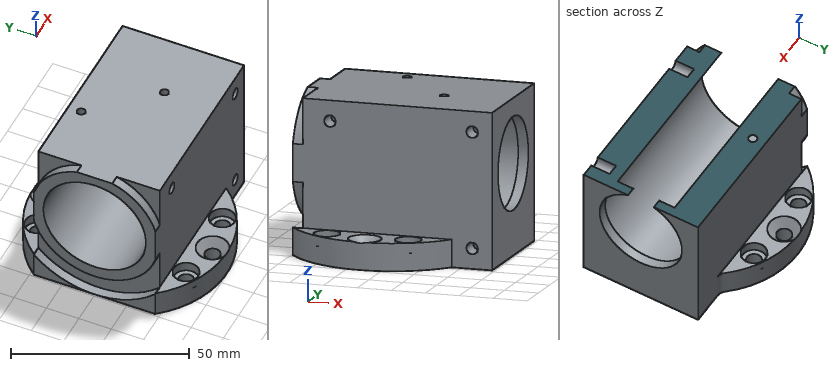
import cadquery as cq
import math

block_length = 58.8
block_width = 37.55
block_height = 45.4
half_width = block_width / 2
bore_z = block_height - half_width

bore_radius = 15.85
lip_radius = 13.5
lip_thickness = 3.0

recess_depth = 3.0
recess_inner_radius = 19.55
recess_outer_radius = 26.6

flange_radius = 30.0
flange_x = 23.45
flange_thickness = 8.05
blend_radius = 3.0

screw_radius = 2.3
counterbore_radius = 3.8
counterbore_depth = 3.0
counterbore_dx = 12.0
counterbore_y = 22.9
countersink_radius = 4.75
countersink_y = 25.5
countersink_angle = 90

side_hole_radius = 1.7
side_hole_positions = [(11.0, 39.4), (52.9, 39.4), (52.9, 5.95)]
top_hole_radius = 1.25
top_hole_positions = [(22.6, 14.7), (39.5, -3.2)]
small_hole_depth = 6.0


def x_cylinder(radius, start, length):
    """Cylinder on the bore axis."""
    return cq.Workplane("YZ", origin=(start, 0, bore_z)).circle(radius).extrude(length)


def make_block():
    block = cq.Workplane("XY").box(block_length, block_width, block_height, centered=(False, True, False))
    recess = x_cylinder(recess_outer_radius, 0, recess_depth)
    recess = recess.cut(x_cylinder(recess_inner_radius, 0, recess_depth))
    return block.cut(recess)


def make_flange():
    """Two circular segments flanking the block."""
    disc = cq.Workplane("XY").center(flange_x, 0).circle(flange_radius).extrude(flange_thickness)
    block_gap = cq.Workplane("XY", origin=(flange_x, 0, 0)).box(
        2 * flange_radius, block_width, flange_thickness, centered=(True, True, False)
    )
    return disc.cut(block_gap)


def make_blend():
    """Concave corner tangent to the +Y block face and the flange rim."""
    center_y = half_width + blend_radius
    center_distance = flange_radius + blend_radius
    center_x = flange_x + math.sqrt(center_distance**2 - center_y**2)
    rim_share = flange_radius / center_distance
    rim_point = (flange_x + (center_x - flange_x) * rim_share, center_y * rim_share)
    corner = (flange_x + math.sqrt(flange_radius**2 - half_width**2), half_width)
    return (
        cq.Workplane("XY")
        .moveTo(*corner)
        .lineTo(center_x, half_width)
        .radiusArc(rim_point, blend_radius)
        .close()
        .extrude(flange_thickness)
    )


def drill_flange(body):
    top = cq.Workplane("XY", origin=(flange_x, 0, flange_thickness))
    counterbores = [(dx, y) for dx in (-counterbore_dx, counterbore_dx) for y in (-counterbore_y, counterbore_y)]
    countersinks = [(0, -countersink_y), (0, countersink_y)]
    countersink_depth = (countersink_radius - screw_radius) / math.tan(math.radians(countersink_angle / 2))

    body = body.cut(top.pushPoints(counterbores + countersinks).circle(screw_radius).extrude(-flange_thickness))
    body = body.cut(top.pushPoints(counterbores).circle(counterbore_radius).extrude(-counterbore_depth))
    for x, y in countersinks:
        cone = cq.Solid.makeCone(
            countersink_radius,
            screw_radius,
            countersink_depth,
            cq.Vector(flange_x + x, y, flange_thickness),
            cq.Vector(0, 0, -1),
        )
        body = body.cut(cq.Workplane(cone))
    return body


def drill_block(body):
    side = cq.Workplane("XZ", origin=(0, -half_width, 0))
    body = body.cut(side.pushPoints(side_hole_positions).circle(side_hole_radius).extrude(-small_hole_depth))
    top = cq.Workplane("XY", origin=(0, 0, block_height))
    return body.cut(top.pushPoints(top_hole_positions).circle(top_hole_radius).extrude(-small_hole_depth))


body = make_block().union(make_flange()).union(make_blend())
body = body.cut(x_cylinder(lip_radius, 0, block_length))
body = body.cut(x_cylinder(bore_radius, 0, block_length - lip_thickness))
result = drill_block(drill_flange(body))